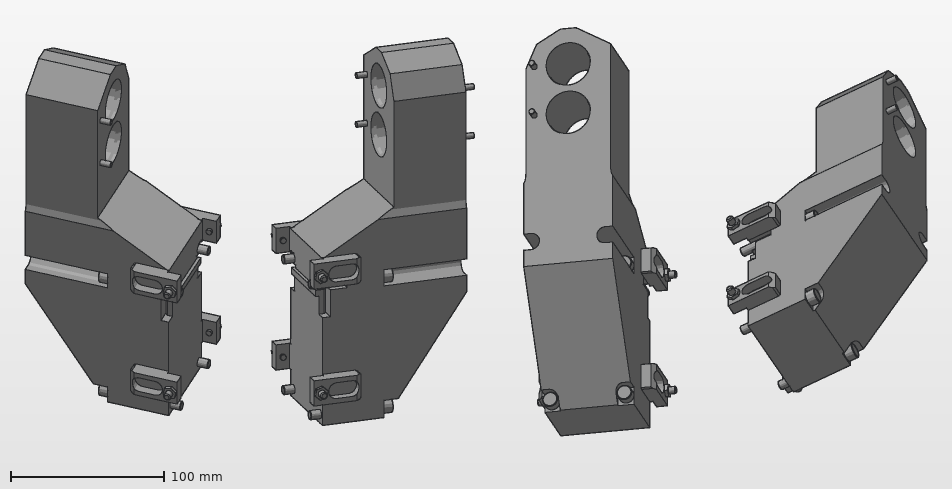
import cadquery as cq
import math

HEIGHT = 244.5
TOWER_DEPTH = 50.1
BODY_DEPTH = 100.2
TOWER_WIDTH = 57.0
TOWER_HALF_WIDTH = TOWER_WIDTH / 2
BODY_WIDTH = 60.0
BODY_HALF_WIDTH = BODY_WIDTH / 2
SHOULDER_TOP = 145.0
LOWER_SLOPE_TOP = 80.2
LOWER_SLOPE_END = 56.0
ROOF_SLOPE = math.tan(math.radians(30))

CREST_WIDTH = 10.5
CREST_HALF_WIDTH = CREST_WIDTH / 2
CROWN_BREAK_Y = 21.3
CROWN_FLANK_FOOT = 218.5

FLARE_OFFSET = 0.7
FLARE_DROP = 5.1
FLARE_LIP_DROP = 1.5

BORE_HEIGHTS = (219.5, 185.5)
BORE_DIAMETER = 28.5
BORE_MOUTH_DIAMETER = 29.5
BORE_MOUTH_DEPTH = 2.0
BORE_TAPER_DEPTH = 2.0
PIN_DIAMETER = 4.0
PIN_LENGTH = 7.3
PIN_CHAMFER = 0.2
PIN_OFFSET = 22.7

SCREW_OFFSET = 25.0
LOWER_SCREW_HEIGHT = 6.4
UPPER_SCREW_HEIGHT = 97.3
SCREW_DIAMETER = 6.0
SCREW_TIP = BODY_DEPTH + 7.3
SCREW_TIP_CHAMFER = 0.5
HEAD_DIAMETER = 10.0
HEAD_LENGTH = 6.5
HEAD_CHAMFER = 0.5
HEAD_SEAT = 57.5
GROOVE_WIDTH = 11.2
SHANK_WINDOW_START = 83.1
SHANK_WINDOW_WIDTH = 7.0

NOTCH_BOTTOM = 75.0
NOTCH_TOP = UPPER_SCREW_HEIGHT - SHANK_WINDOW_WIDTH / 2
NOTCH_DEPTH = 5.5
KEY_TOP = 92.0
KEY_HALF_WIDTH = 23.0
KEY_CHAMFER = 1.7
LIP_HEIGHT = 4.5
LIP_PROJECTION = 2.2

CLAMP_HEIGHTS = (27.0, 108.0)
CLAMP_START = 76.0
CLAMP_END = 109.8
CLAMP_WIDTH = 17.5
CLAMP_THICKNESS = 9.5
CLAMP_TOE_GAP = 2.08
CLAMP_BEVEL_LENGTH = 3.7
CLAMP_BEVEL_DEPTH = 3.0
CLAMP_CORNER_LENGTH = 1.5
CLAMP_CORNER_HEIGHT = 0.7
SLOT_CENTER = 88.8
SLOT_LENGTH = 21.5
SLOT_WIDTH = 11.0
SLOT_DEPTH = 6.0

SET_SCREW_X = 105.1
SET_SCREW_DIAMETER = 5.0
SET_SCREW_CHAMFER = 0.7
SET_SCREW_POINT_DIAMETER = 4.0
SET_SCREW_POINT_Y = 30.3
SET_SCREW_OUTER_Y = 46.5
NUT_CORNER_DIAMETER = 9.3
NUT_HEIGHT = 2.2
NUT_TURN = 18.0

SIDES = (-1, 1)
OVERLAP = 1.2


def box(x_range, y_range, z_range):
    """Block between two opposite corners; each range is (one end, other end)."""
    lows, highs = zip(*(sorted(r) for r in (x_range, y_range, z_range)))
    sizes = [high - low for low, high in zip(lows, highs)]
    return cq.Workplane("XY").box(*sizes, centered=False).translate(lows)


def rod(diameter, x_start, x_end, y, z):
    """Cylinder along X."""
    return cq.Workplane("YZ", origin=(x_start, y, z)).circle(diameter / 2).extrude(x_end - x_start)


def body_blank():
    """Side outline and front outline, extruded across each other and intersected."""
    roof_end = SHOULDER_TOP - (BODY_DEPTH - TOWER_DEPTH) * ROOF_SLOPE
    side = (
        cq.Workplane("XZ")
        .moveTo(0, HEIGHT)
        .lineTo(TOWER_DEPTH, HEIGHT)
        .lineTo(TOWER_DEPTH, SHOULDER_TOP)
        .lineTo(BODY_DEPTH, roof_end)
        .lineTo(BODY_DEPTH, 0)
        .lineTo(LOWER_SLOPE_END, 0)
        .lineTo(0, LOWER_SLOPE_TOP)
        .close()
        .extrude(BODY_HALF_WIDTH, both=True)
    )

    flare_radius = (FLARE_DROP**2 + FLARE_OFFSET**2) / (2 * FLARE_OFFSET)
    flare_y = TOWER_HALF_WIDTH + FLARE_OFFSET
    flare_z = SHOULDER_TOP - FLARE_DROP
    lip_z = flare_z - FLARE_LIP_DROP
    plain_corner_z = HEIGHT - (TOWER_HALF_WIDTH - CREST_HALF_WIDTH) * ROOF_SLOPE
    crown_break_z = HEIGHT - (CROWN_BREAK_Y - CREST_HALF_WIDTH) * ROOF_SLOPE
    front = (
        cq.Workplane("YZ")
        .moveTo(-BODY_HALF_WIDTH, 0)
        .lineTo(BODY_HALF_WIDTH, 0)
        .lineTo(BODY_HALF_WIDTH, lip_z)
        .lineTo(flare_y, flare_z)
        .radiusArc((TOWER_HALF_WIDTH, SHOULDER_TOP), flare_radius)
        .lineTo(TOWER_HALF_WIDTH, CROWN_FLANK_FOOT)
        .lineTo(CROWN_BREAK_Y, crown_break_z)
        .lineTo(CREST_HALF_WIDTH, HEIGHT)
        .lineTo(-CREST_HALF_WIDTH, HEIGHT)
        .lineTo(-TOWER_HALF_WIDTH, plain_corner_z)
        .lineTo(-TOWER_HALF_WIDTH, SHOULDER_TOP)
        .radiusArc((-flare_y, flare_z), flare_radius)
        .lineTo(-BODY_HALF_WIDTH, lip_z)
        .close()
        .extrude(BODY_DEPTH)
    )
    return side.intersect(front)


def bore(z):
    """Through bore, widened at both mouths by a short counterbore and taper."""
    taper_end = BORE_MOUTH_DEPTH + BORE_TAPER_DEPTH
    mouth_radius = BORE_MOUTH_DIAMETER / 2
    radius = BORE_DIAMETER / 2
    return (
        cq.Workplane("XY")
        .moveTo(0, 0)
        .lineTo(0, mouth_radius)
        .lineTo(BORE_MOUTH_DEPTH, mouth_radius)
        .lineTo(taper_end, radius)
        .lineTo(TOWER_DEPTH - taper_end, radius)
        .lineTo(TOWER_DEPTH - BORE_MOUTH_DEPTH, mouth_radius)
        .lineTo(TOWER_DEPTH, mouth_radius)
        .lineTo(TOWER_DEPTH, 0)
        .close()
        .revolve(360, (0, 0, 0), (1, 0, 0))
        .translate((0, 0, z))
    )


def pins(z):
    """Pin on the -X face at +Y and pin on the +X tower face at -Y."""
    left = rod(PIN_DIAMETER, -PIN_LENGTH, OVERLAP, PIN_OFFSET, z)
    right = rod(PIN_DIAMETER, TOWER_DEPTH - OVERLAP, TOWER_DEPTH + PIN_LENGTH, -PIN_OFFSET, z)
    return left.faces("<X").chamfer(PIN_CHAMFER).union(right.faces(">X").chamfer(PIN_CHAMFER))


def head_groove(side, z, floor_z):
    """Round-bottomed groove that leads the screw head in, open to the side."""
    y = side * SCREW_OFFSET
    outer_y = side * (BODY_HALF_WIDTH + OVERLAP)
    open_to_side = box((0, HEAD_SEAT), (y, outer_y), (floor_z, z + GROOVE_WIDTH / 2))
    return rod(GROOVE_WIDTH, 0, HEAD_SEAT, y, z).union(open_to_side)


def lower_head_pocket(side):
    """The lower groove also opens downward."""
    y = side * SCREW_OFFSET
    inner_y = side * (SCREW_OFFSET - GROOVE_WIDTH / 2)
    below = box((0, HEAD_SEAT), (inner_y, y), (-OVERLAP, LOWER_SCREW_HEIGHT))
    return head_groove(side, LOWER_SCREW_HEIGHT, -OVERLAP).union(below)


def upper_head_groove(side):
    return head_groove(side, UPPER_SCREW_HEIGHT, UPPER_SCREW_HEIGHT - GROOVE_WIDTH / 2)


def shank_window(side):
    """Side opening that exposes the end of the upper screw."""
    half = SHANK_WINDOW_WIDTH / 2
    return box(
        (SHANK_WINDOW_START, BODY_DEPTH),
        (side * SCREW_OFFSET, side * BODY_HALF_WIDTH),
        (UPPER_SCREW_HEIGHT - half, UPPER_SCREW_HEIGHT + half),
    )


def mounting_screw(side, z):
    y = side * SCREW_OFFSET
    head = rod(HEAD_DIAMETER, HEAD_SEAT - HEAD_LENGTH, HEAD_SEAT, y, z).faces("<X").chamfer(HEAD_CHAMFER)
    shank = rod(SCREW_DIAMETER, HEAD_SEAT, SCREW_TIP, y, z).faces(">X").chamfer(SCREW_TIP_CHAMFER)
    return head.union(shank)


def notch():
    return box(
        (BODY_DEPTH - NOTCH_DEPTH, BODY_DEPTH),
        (-BODY_HALF_WIDTH, BODY_HALF_WIDTH),
        (NOTCH_BOTTOM, NOTCH_TOP),
    )


def key():
    """Block filling the middle of the notch, with a lip along its top and a narrower web above."""
    back = BODY_DEPTH - NOTCH_DEPTH
    y_range = (-KEY_HALF_WIDTH, KEY_HALF_WIDTH)
    block = box((back, BODY_DEPTH), y_range, (NOTCH_BOTTOM, KEY_TOP))
    block = block.edges("|Z and <X").chamfer(KEY_CHAMFER)
    lip = box((BODY_DEPTH - OVERLAP, BODY_DEPTH + LIP_PROJECTION), y_range, (KEY_TOP - LIP_HEIGHT, KEY_TOP))
    web_half_width = KEY_HALF_WIDTH - KEY_CHAMFER
    web = box((back, BODY_DEPTH), (-web_half_width, web_half_width), (KEY_TOP, NOTCH_TOP))
    return block.union(lip).union(web)


def clamp():
    """Slotted clamp on the +Y side with its set screw and nut."""
    inner = BODY_HALF_WIDTH
    outer = inner + CLAMP_THICKNESS
    half_width = CLAMP_WIDTH / 2
    plan = (
        cq.Workplane("XY")
        .moveTo(CLAMP_START, inner)
        .lineTo(BODY_DEPTH, inner)
        .lineTo(BODY_DEPTH, inner + CLAMP_TOE_GAP)
        .lineTo(CLAMP_END, inner + CLAMP_TOE_GAP)
        .lineTo(CLAMP_END, outer)
        .lineTo(CLAMP_START + CLAMP_BEVEL_LENGTH, outer)
        .lineTo(CLAMP_START, outer - CLAMP_BEVEL_DEPTH)
        .close()
        .extrude(half_width, both=True)
    )
    elevation = (
        cq.Workplane("XZ", origin=(0, outer, 0))
        .moveTo(CLAMP_END, half_width)
        .lineTo(CLAMP_START + CLAMP_CORNER_LENGTH, half_width)
        .lineTo(CLAMP_START, half_width - CLAMP_CORNER_HEIGHT)
        .lineTo(CLAMP_START, CLAMP_CORNER_HEIGHT - half_width)
        .lineTo(CLAMP_START + CLAMP_CORNER_LENGTH, -half_width)
        .lineTo(CLAMP_END, -half_width)
        .close()
        .extrude(CLAMP_THICKNESS)
    )
    slot = (
        cq.Workplane("XZ", origin=(SLOT_CENTER, outer, 0))
        .slot2D(SLOT_LENGTH, SLOT_WIDTH)
        .extrude(SLOT_DEPTH)
    )
    set_screw_end = (
        cq.Workplane("XZ", origin=(SET_SCREW_X, SET_SCREW_OUTER_Y, 0))
        .circle(SET_SCREW_DIAMETER / 2)
        .extrude(SET_SCREW_OUTER_Y - outer)
        .faces(">Y")
        .chamfer(SET_SCREW_CHAMFER)
    )
    set_screw_point = (
        cq.Workplane("XZ", origin=(SET_SCREW_X, inner + CLAMP_TOE_GAP, 0))
        .circle(SET_SCREW_POINT_DIAMETER / 2)
        .extrude(inner + CLAMP_TOE_GAP - SET_SCREW_POINT_Y)
    )
    nut = (
        cq.Workplane("XZ", origin=(SET_SCREW_X, outer + NUT_HEIGHT, 0))
        .transformed(rotate=(0, 0, -NUT_TURN))
        .polygon(6, NUT_CORNER_DIAMETER)
        .extrude(NUT_HEIGHT)
    )
    slotted_bar = plan.intersect(elevation).cut(slot)
    return slotted_bar.union(nut).union(set_screw_end).union(set_screw_point)


def clamp_pair(z):
    """The -Y clamp is the +Y clamp turned half a turn about X."""
    right = clamp()
    left = right.rotate((0, 0, 0), (1, 0, 0), 180)
    return right.union(left).translate((0, 0, z))


result = body_blank().cut(notch()).union(key())

for height in BORE_HEIGHTS:
    result = result.cut(bore(height)).union(pins(height))

for side in SIDES:
    result = result.cut(lower_head_pocket(side)).cut(upper_head_groove(side)).cut(shank_window(side))
    for height in (LOWER_SCREW_HEIGHT, UPPER_SCREW_HEIGHT):
        result = result.union(mounting_screw(side, height))

for height in CLAMP_HEIGHTS:
    result = result.union(clamp_pair(height))